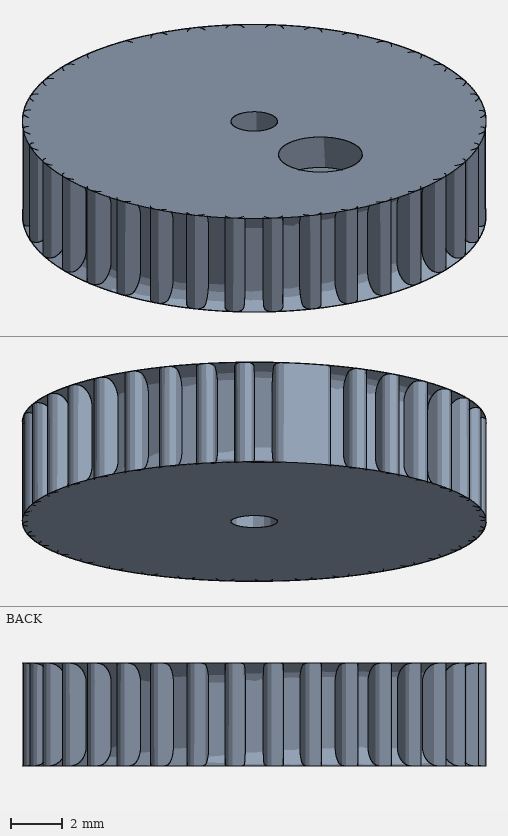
import cadquery as cq
import math

outer_radius = 9.0
thickness = 4.0

tooth_count = 36
tooth_width = 0.75
pocket_depth = 0.77
tooth_pitch_angle = 360 / tooth_count
first_tooth_angle = tooth_pitch_angle / 2
tooth_tip_radius = tooth_width / 2
pocket_floor_radius = outer_radius - pocket_depth
tooth_root_radius = pocket_floor_radius - tooth_width

axle_hole_diameter = 1.8
side_hole_diameter = 3.25
side_hole_offset = 4.0
side_hole_depth = 1.3


def make_core():
    """Disc whose side is hollowed by a groove that curves out to both rim edges."""
    arc_offset = pocket_depth * (1 - math.sqrt(0.5))
    profile = (
        cq.Workplane("XZ")
        .lineTo(outer_radius, 0)
        .threePointArc(
            (pocket_floor_radius + arc_offset, arc_offset),
            (pocket_floor_radius, pocket_depth),
        )
        .lineTo(pocket_floor_radius, thickness - pocket_depth)
        .threePointArc(
            (pocket_floor_radius + arc_offset, thickness - arc_offset),
            (outer_radius, thickness),
        )
        .lineTo(0, thickness)
        .close()
    )
    return profile.revolve(360, (0, 0, 0), (0, 1, 0))


def make_teeth():
    """Ring of separate full-height teeth, each with parallel flanks and a half-round tip."""
    tip_center = outer_radius - tooth_tip_radius
    tooth = (
        cq.Workplane("XY")
        .moveTo(tooth_root_radius, -tooth_tip_radius)
        .lineTo(tip_center, -tooth_tip_radius)
        .threePointArc((outer_radius, 0), (tip_center, tooth_tip_radius))
        .lineTo(tooth_root_radius, tooth_tip_radius)
        .close()
        .extrude(thickness)
    )
    teeth = cq.Workplane("XY")
    for index in range(tooth_count):
        angle = first_tooth_angle + index * tooth_pitch_angle
        teeth.add(tooth.rotate((0, 0, 0), (0, 0, 1), angle))
    return teeth.combine()


def make_index_block():
    """Solid sector that fills the one pocket on the -X side, from tooth tip to tooth tip."""
    half_angle = math.radians(tooth_pitch_angle / 2)
    tip_x = -outer_radius * math.cos(half_angle)
    tip_y = outer_radius * math.sin(half_angle)
    return (
        cq.Workplane("XY")
        .moveTo(-tooth_root_radius, 0)
        .lineTo(tip_x, -tip_y)
        .threePointArc((-outer_radius, 0), (tip_x, tip_y))
        .close()
        .extrude(thickness)
    )


def make_hole(center_x, diameter, depth):
    """Cylinder that reaches down from the top face."""
    return (
        cq.Workplane("XY", origin=(center_x, 0, thickness - depth))
        .circle(diameter / 2)
        .extrude(depth)
    )


result = make_core().union(make_teeth()).union(make_index_block())
result = result.cut(make_hole(0, axle_hole_diameter, thickness))
result = result.cut(make_hole(side_hole_offset, side_hole_diameter, side_hole_depth))